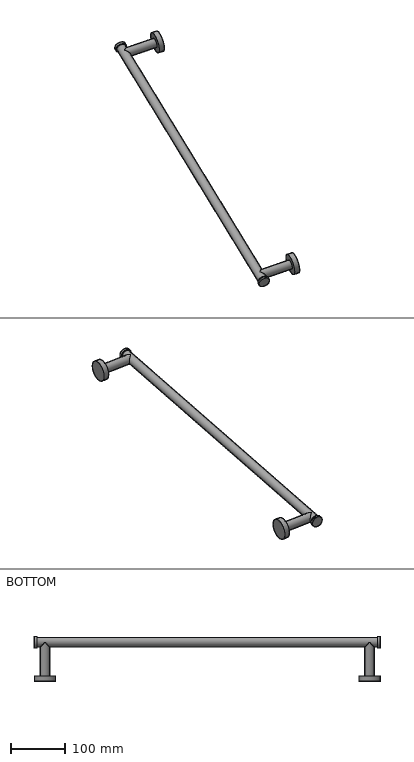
import cadquery as cq

overall_length = 640.0
flange_diameter = 40.0
flange_thickness = 10.0
post_diameter = 18.0
bar_diameter = 18.0
cap_diameter = 22.0
cap_thickness = 5.0
overall_depth = 83.0

bar_length = overall_length - 2 * cap_thickness
wall_y = overall_depth - cap_diameter / 2
flange_front_y = wall_y - flange_thickness
post_x = (overall_length - flange_diameter) / 2
side_signs = (-1, 1)


def x_cylinder(diameter, length, center_x):
    """Cylinder along the bar axis, centred at center_x."""
    return (
        cq.Workplane("YZ")
        .workplane(offset=center_x - length / 2)
        .circle(diameter / 2)
        .extrude(length)
    )


def y_cylinder(diameter, center_x, start_y, end_y):
    """Cylinder square to the wall, running from start_y to end_y."""
    return (
        cq.Workplane("XZ", origin=(center_x, start_y, 0))
        .circle(diameter / 2)
        .extrude(start_y - end_y)
    )


def make_bar():
    """Straight round rail between the two end caps."""
    return x_cylinder(bar_diameter, bar_length, 0)


def make_cap(side):
    """Disc that closes one end of the bar, slightly wider than the bar."""
    return x_cylinder(cap_diameter, cap_thickness, side * (bar_length + cap_thickness) / 2)


def make_post(side):
    """Round arm from the flange to the bar, with its front end saddled onto the bar."""
    arm = y_cylinder(post_diameter, side * post_x, 0, flange_front_y)
    return arm.cut(make_bar())


def make_flange(side):
    """Wall disc behind one post."""
    return y_cylinder(flange_diameter, side * post_x, flange_front_y, wall_y)


bar = make_bar()
caps = [make_cap(side) for side in side_signs]
posts = [make_post(side) for side in side_signs]
flanges = [make_flange(side) for side in side_signs]

result = cq.Compound.makeCompound(
    [body.val() for body in [bar, *caps, *posts, *flanges]]
)